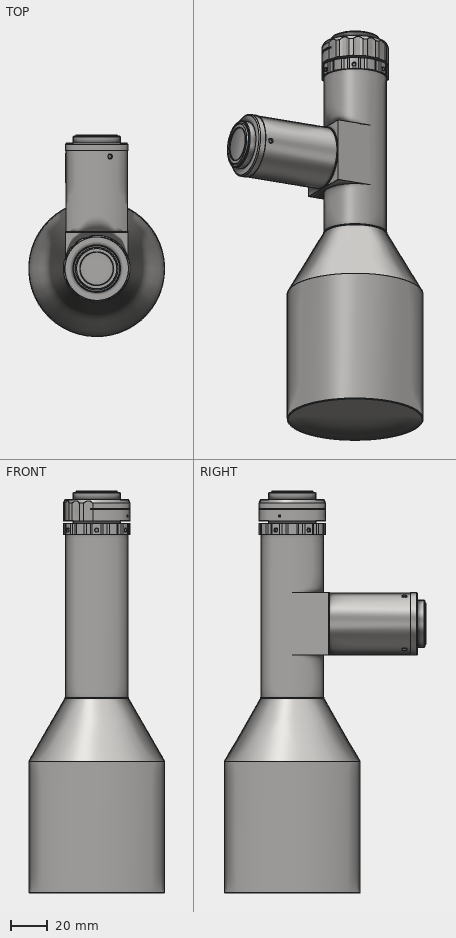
import cadquery as cq
import math

TOTAL_HEIGHT = 217.7
BASE_RADIUS = 36.8
BASE_HEIGHT = 71.5
BASE_CHAMFER = 0.5
CONE_TOP = 105.4
CONE_LIP_RADIUS = 17.2
CONE_LIP_TOP = 106.0
TUBE_RADIUS = 17.0

COLLAR_RADIUS = 18.0
LOWER_BOTTOM = 194.2
LOWER_TOP = 200.3
PAD_COUNT = 12
PAD_GROOVE_WIDTH = 4.5
PAD_FLOOR_WIDTH = 2.2
SCREW_COUNT = 6
SCREW_Z = 196.5
SCREW_RADIUS = 1.0

UPPER_BOTTOM = 201.5
UPPER_TOP = 213.1
UPPER_CHAMFER_WIDTH = 0.9
UPPER_CHAMFER_HEIGHT = 2.0
FLUTE_COUNT = 7
FLUTE_PITCH = 24.5
FLUTE_SPAN = (FLUTE_COUNT - 1) * FLUTE_PITCH
FLUTE_CENTER = 181.5
FLUTE_WIDTH = 5.2
FLUTE_FLOOR_WIDTH = 2.2
GROOVE_DEPTH = 0.55
PANEL_SLOT_Z = 208.1
PANEL_SLOT_WIDTH = 0.7
PANEL_SLOT_DEPTH = 0.5
PANEL_HOLE_Z = 204.2
PANEL_HOLE_ANGLE = -22.5
PANEL_HOLE_RADIUS = 0.55

TIP_RADIUS = 12.8
TIP_BEVEL = 0.5
TIP_LIP_RADIUS = 11.5
TIP_LIP_HEIGHT = 0.7
WINDOW_RADIUS = 9.1
WINDOW_DEPTH = 0.5
WINDOW_SLOPE = 0.2

ARM_Z = 145.9
ARM_RADIUS = 16.8
ARM_END = 72.5
ARM_FLANGE_RADIUS = TUBE_RADIUS
ARM_FLANGE_START = 64.0
ARM_FLANGE_END = 68.0
ARM_FLANGE_CHAMFER = 0.7
BLOCK_END = 19.5
BLOCK_RING_END = 20.2
ARM_HOLE_Y = 60.7
ARM_HOLE_RADIUS = 1.3
ARM_HOLE_FIRST_ANGLE = 64.0
ARM_HOLE_COUNT = 3

HOLE_DEPTH = 1.3


def turned(points):
    """Solid of revolution about Z from (radius, height) points."""
    return cq.Workplane("XZ").polyline(points).close().revolve(360, (0, 0, 0), (0, 1, 0))


def tip_profile(end):
    """Outline of the tip, from its outer wall to the middle of its sunken window."""
    ledge = end - TIP_LIP_HEIGHT
    return [
        (TIP_RADIUS, ledge - TIP_BEVEL),
        (TIP_RADIUS - TIP_BEVEL, ledge),
        (TIP_LIP_RADIUS, ledge),
        (TIP_LIP_RADIUS - TIP_LIP_HEIGHT, end),
        (WINDOW_RADIUS, end),
        (WINDOW_RADIUS - WINDOW_SLOPE, end - WINDOW_DEPTH),
        (0, end - WINDOW_DEPTH),
    ]


def radial_hole(radius, height, angle, surface_radius):
    """Blind hole drilled toward the Z axis from a round surface."""
    drill = cq.Workplane("YZ").circle(radius).extrude(2 * HOLE_DEPTH)
    drill = drill.translate((surface_radius - HOLE_DEPTH, 0, height))
    return drill.rotate((0, 0, 0), (0, 0, 1), angle)


def axial_groove(width, floor_width, bottom, top, angle):
    """Trapezoid groove running along Z in the rim of a collar."""
    floor = COLLAR_RADIUS - GROOVE_DEPTH
    half_floor = floor_width / 2
    half_mouth = width / 2
    mouth = math.sqrt(COLLAR_RADIUS**2 - half_mouth**2)
    outside = COLLAR_RADIUS + GROOVE_DEPTH
    outline = [
        (floor, -half_floor),
        (mouth, -half_mouth),
        (outside, -half_mouth),
        (outside, half_mouth),
        (mouth, half_mouth),
        (floor, half_floor),
    ]
    groove = cq.Workplane("XY").workplane(offset=bottom).polyline(outline).close().extrude(top - bottom)
    return groove.rotate((0, 0, 0), (0, 0, 1), angle)


def main_body():
    return turned([
        (0, 0),
        (BASE_RADIUS - BASE_CHAMFER, 0),
        (BASE_RADIUS, BASE_CHAMFER),
        (BASE_RADIUS, BASE_HEIGHT),
        (CONE_LIP_RADIUS, CONE_TOP),
        (CONE_LIP_RADIUS, CONE_LIP_TOP),
        (TUBE_RADIUS, CONE_LIP_TOP),
        (TUBE_RADIUS, LOWER_BOTTOM),
        (COLLAR_RADIUS, LOWER_BOTTOM),
        (COLLAR_RADIUS, LOWER_TOP),
        (TIP_RADIUS, LOWER_TOP),
        (TIP_RADIUS, UPPER_BOTTOM),
        (COLLAR_RADIUS, UPPER_BOTTOM),
        (COLLAR_RADIUS, UPPER_TOP - UPPER_CHAMFER_HEIGHT),
        (COLLAR_RADIUS - UPPER_CHAMFER_WIDTH, UPPER_TOP),
        (TIP_RADIUS, UPPER_TOP),
        *tip_profile(TOTAL_HEIGHT),
    ])


def cut_lower_collar(body):
    pad_pitch = 360 / PAD_COUNT
    for i in range(PAD_COUNT):
        angle = (i + 0.5) * pad_pitch
        body = body.cut(axial_groove(PAD_GROOVE_WIDTH, PAD_FLOOR_WIDTH, LOWER_BOTTOM, LOWER_TOP, angle))
    for i in range(SCREW_COUNT):
        angle = -90 + i * 360 / SCREW_COUNT
        body = body.cut(radial_hole(SCREW_RADIUS, SCREW_Z, angle, COLLAR_RADIUS))
    return body


def panel_slot():
    """Thin slot around the plain panel, ending in the outermost flutes."""
    inner = COLLAR_RADIUS - PANEL_SLOT_DEPTH
    outer = COLLAR_RADIUS + PANEL_SLOT_DEPTH
    low = PANEL_SLOT_Z - PANEL_SLOT_WIDTH / 2
    high = PANEL_SLOT_Z + PANEL_SLOT_WIDTH / 2
    section = cq.Workplane("XZ").polyline([(inner, low), (outer, low), (outer, high), (inner, high)]).close()
    slot = section.revolve(360 - FLUTE_SPAN, (0, 0, 0), (0, 1, 0))
    return slot.rotate((0, 0, 0), (0, 0, 1), FLUTE_CENTER + FLUTE_SPAN / 2)


def cut_upper_collar(body):
    body = body.cut(panel_slot())
    for i in range(FLUTE_COUNT):
        angle = FLUTE_CENTER - FLUTE_SPAN / 2 + i * FLUTE_PITCH
        body = body.cut(axial_groove(FLUTE_WIDTH, FLUTE_FLOOR_WIDTH, UPPER_BOTTOM, UPPER_TOP, angle))
    return body.cut(radial_hole(PANEL_HOLE_RADIUS, PANEL_HOLE_Z, PANEL_HOLE_ANGLE, COLLAR_RADIUS))


def side_arm():
    """Arm modelled upright, then laid along +Y at its height, with its mounting block."""
    arm = turned([
        (0, 0),
        (TUBE_RADIUS, 0),
        (TUBE_RADIUS, BLOCK_RING_END),
        (ARM_RADIUS, BLOCK_RING_END),
        (ARM_RADIUS, ARM_FLANGE_START),
        (ARM_FLANGE_RADIUS, ARM_FLANGE_START),
        (ARM_FLANGE_RADIUS, ARM_FLANGE_END - ARM_FLANGE_CHAMFER),
        (ARM_FLANGE_RADIUS - ARM_FLANGE_CHAMFER, ARM_FLANGE_END),
        (TIP_RADIUS, ARM_FLANGE_END),
        *tip_profile(ARM_END),
    ])
    block = cq.Workplane("XY").rect(2 * TUBE_RADIUS, 2 * TUBE_RADIUS).extrude(BLOCK_END)
    arm = arm.union(block)
    for i in range(ARM_HOLE_COUNT):
        angle = -ARM_HOLE_FIRST_ANGLE - i * 360 / ARM_HOLE_COUNT
        arm = arm.cut(radial_hole(ARM_HOLE_RADIUS, ARM_HOLE_Y, angle, ARM_RADIUS))
    return arm.rotate((0, 0, 0), (1, 0, 0), -90).translate((0, 0, ARM_Z))


body = cut_upper_collar(cut_lower_collar(main_body()))
result = body.union(side_arm())